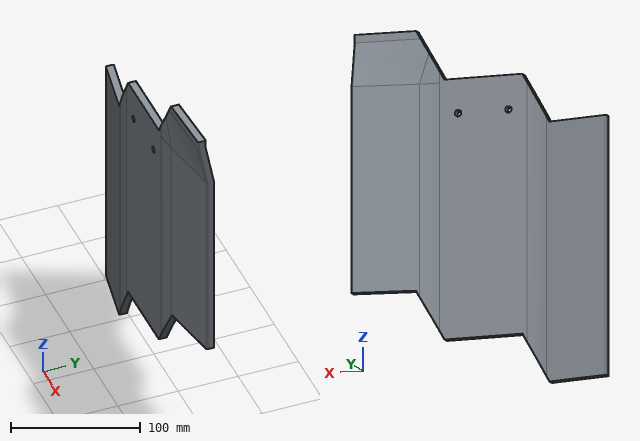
import cadquery as cq
import math

total_height = 285.0
half_width = 104.75
thickness = 6.5
step_height = 40.0
step_angle = 30.0
step_start = 32.0
bend_start = 36.0
bend_radius = 100.0
wing_angle = 10.0
corner_angle = 3.0
edge_radius = 1.0
twist_bottom = 242.8
twist_top = 278.7
hole_diameter = 5.0
hole_spacing = 41.3
hole_height = 217.7

panel_height = total_height - 2 * step_height
step_end = step_start + step_height * math.tan(math.radians(step_angle))
cut_depth = 57.0


def half_profile(angle, height):
    """Horizontal section of the right half, with its wing tilted back by angle."""
    tilt = math.radians(angle)
    back_radius = bend_radius - thickness

    def arc_point(radius, turn):
        return (bend_start + radius * math.sin(turn), bend_radius - radius * math.cos(turn))

    def edge_point(radius):
        x, y = arc_point(radius, tilt)
        return (half_width, y + (half_width - x) * math.tan(tilt))

    wire = (
        cq.Workplane("XY", origin=(0, 0, height))
        .lineTo(bend_start, 0)
        .threePointArc(arc_point(bend_radius, tilt / 2), arc_point(bend_radius, tilt))
        .lineTo(*edge_point(bend_radius))
        .lineTo(*edge_point(back_radius))
        .lineTo(*arc_point(back_radius, tilt))
        .threePointArc(arc_point(back_radius, tilt / 2), (bend_start, thickness))
        .lineTo(0, thickness)
        .close()
        .val()
    )
    side_corners = [v for v in wire.Vertices() if v.X > half_width - edge_radius]
    return wire.fillet2D(edge_radius, side_corners)


def extrude_half(angle, bottom, top):
    """Right half with a constant wing tilt between two heights."""
    return cq.Solid.extrudeLinear(half_profile(angle, bottom), [], cq.Vector(0, 0, top - bottom))


def make_bent_plate():
    """Full-height bent plate whose right wing flattens near the top."""
    left = cq.Workplane(extrude_half(wing_angle, 0, total_height)).mirror("YZ")
    lower_right = extrude_half(wing_angle, 0, twist_bottom)
    twisted_sections = [half_profile(wing_angle, twist_bottom), half_profile(corner_angle, twist_top)]
    twisted_right = cq.Solid.makeLoft(twisted_sections, True)
    upper_right = extrude_half(corner_angle, twist_top, total_height)
    return left.union(lower_right).union(twisted_right).union(upper_right).clean()


def make_outline():
    """Stepped front outline: three equal panels, each one step higher than the last."""
    bottom_edge = [
        (-half_width, 0),
        (-step_end, 0),
        (-step_start, step_height),
        (step_start, step_height),
        (step_end, 2 * step_height),
        (half_width, 2 * step_height),
    ]
    top_edge = [(x, z + panel_height) for x, z in reversed(bottom_edge)]
    return cq.Workplane("XZ").polyline(bottom_edge + top_edge).close().extrude(cut_depth, both=True)


def make_holes():
    """Two through holes in the upper part of the middle panel."""
    return (
        cq.Workplane("XZ")
        .pushPoints([(-hole_spacing / 2, hole_height), (hole_spacing / 2, hole_height)])
        .circle(hole_diameter / 2)
        .extrude(cut_depth, both=True)
    )


result = make_bent_plate().intersect(make_outline()).cut(make_holes())